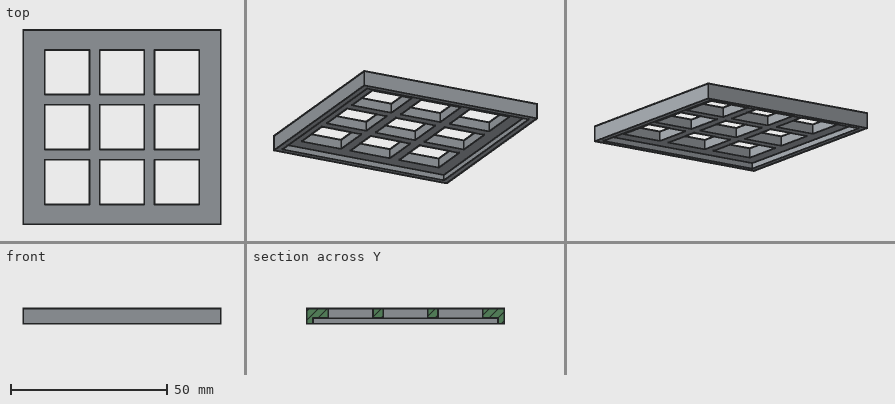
import cadquery as cq

length = 63.2
width = 62.2
thickness = 5.0

windows_per_side = 3
window_size = 14.2
bar_width = 3.35
window_pitch = window_size + bar_width

panel_thickness = 3.15
rim_width = 2.0
recess_depth = thickness - panel_thickness

plate = cq.Workplane("XY").box(length, width, thickness)

recessed_plate = (
    plate.faces("<Z")
    .workplane()
    .rect(length - 2 * rim_width, width - 2 * rim_width)
    .cutBlind(-recess_depth)
)

result = (
    recessed_plate.faces(">Z")
    .workplane()
    .rarray(window_pitch, window_pitch, windows_per_side, windows_per_side)
    .rect(window_size, window_size)
    .cutThruAll()
)